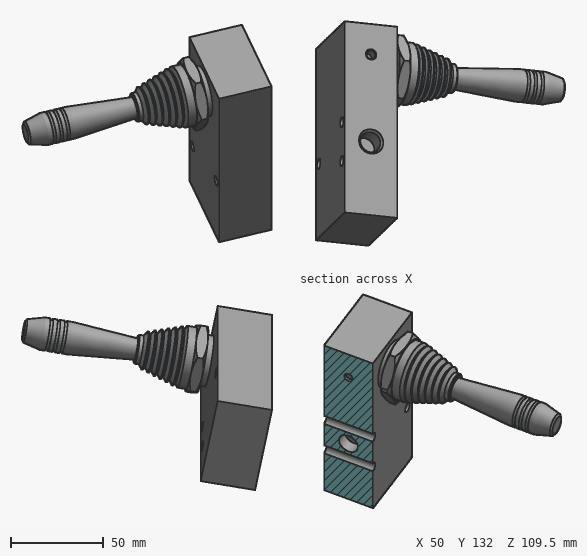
import cadquery as cq
import math

block_width = 50.0
block_depth = 30.0
block_height = 109.0

mount_diameter = 5.5
mount_x = 19.9
mount_mid_z = 42.0
mount_half_spacing = 11.1

port_diameter = 11.4
port_mouth_diameter = 13.9
port_depth = 11.9
pilot_diameter = 4.9
pilot_mouth_diameter = 6.0
pilot_depth = 6.6

lever_z = 91.6
lever_length = 132 - block_depth
stem_radius = 28.0 / 2
nut_start = 3.7
nut_end = 10.0
nut_across_flats = 35.9
nut_bevel_angle = math.radians(30)
collar_radius = 34.0 / 2
collar_end = 14.8

ridge_count = 6
ridge_pitch = 3.52
ridge_shrink = 1.16
first_valley = 16.2
first_valley_radius = 29.5 / 2
ridge_height = 1.6
ridge_rise = 1.0
ridge_land = 0.5
cuff_start = 37.4
cuff_end = 40.3
cuff_radius = 16.0 / 2
cuff_chamfer = 0.7

neck_radius = 12.0 / 2
neck_end = 41.3
grip_radius = 18.0 / 2
grip_start = 76.4
grip_end = 91.6
groove_count = 3
groove_radius = 0.8
groove_pitch = 4.0
first_groove = 80.3
tip_radius = 6.5
tip_face_radius = 5.1
tip_chamfer_length = 0.9


def side_hole(z, diameter, mouth_diameter, depth):
    """Blind hole along +X with a 45 degree countersink at its mouth."""
    sink = (mouth_diameter - diameter) / 2
    face = cq.Workplane("YZ", origin=(-block_width / 2, block_depth / 2, z))
    bore = face.circle(diameter / 2).extrude(depth)
    mouth = face.circle(mouth_diameter / 2).workplane(offset=sink).circle(diameter / 2).loft(ruled=True)
    return bore.union(mouth)


def make_block():
    block = cq.Workplane("XY").box(block_width, block_depth, block_height, centered=(True, False, False))
    mount_points = [
        (-mount_x, mount_mid_z + mount_half_spacing),
        (-mount_x, mount_mid_z - mount_half_spacing),
        (mount_x, mount_mid_z),
    ]
    mounts = cq.Workplane("XZ").pushPoints(mount_points).circle(mount_diameter / 2).extrude(-block_depth)
    block = block.cut(mounts)
    block = block.cut(side_hole(mount_mid_z, port_diameter, port_mouth_diameter, port_depth))
    return block.cut(side_hole(lever_z, pilot_diameter, pilot_mouth_diameter, pilot_depth))


def bellows_points():
    """Valley and two ridge corners for each fold, as (radius, distance from block)."""
    points = []
    for fold in range(ridge_count):
        valley = first_valley + fold * ridge_pitch
        valley_radius = first_valley_radius - fold * ridge_shrink
        ridge_radius = valley_radius + ridge_height
        points.append((valley_radius, valley))
        points.append((ridge_radius, valley + ridge_rise))
        points.append((ridge_radius, valley + ridge_rise + ridge_land))
    return points


def turned_body():
    """Stem, collar, bellows and handle as one revolved profile."""
    profile = cq.Workplane("XY").lineTo(stem_radius, 0).lineTo(stem_radius, -nut_end)
    outline = [(collar_radius, nut_end), (collar_radius, collar_end)]
    outline += bellows_points()
    outline += [
        (cuff_radius, cuff_start),
        (cuff_radius, cuff_end - cuff_chamfer),
        (cuff_radius - cuff_chamfer, cuff_end),
        (neck_radius, cuff_end),
        (neck_radius, neck_end),
        (grip_radius, grip_start),
    ]
    for radius, distance in outline:
        profile = profile.lineTo(radius, -distance)
    for index in range(groove_count):
        middle = first_groove + index * groove_pitch
        profile = profile.lineTo(grip_radius, -(middle - groove_radius))
        profile = profile.threePointArc(
            (grip_radius - groove_radius, -middle),
            (grip_radius, -(middle + groove_radius)),
        )
    profile = profile.lineTo(grip_radius, -grip_end)
    profile = profile.lineTo(tip_radius, -(lever_length - tip_chamfer_length))
    profile = profile.lineTo(tip_face_radius, -lever_length)
    profile = profile.lineTo(0, -lever_length).close()
    return profile.revolve(360, (0, 0, 0), (0, 1, 0))


def hex_nut():
    """Hexagon with corners on the X axis, both faces bevelled by a cone."""
    flat_radius = nut_across_flats / 2
    corner_radius = flat_radius / math.cos(math.pi / 6)
    bevel = (corner_radius - flat_radius) * math.tan(nut_bevel_angle)
    thickness = nut_end - nut_start
    hexagon = cq.Workplane("XZ", origin=(0, -nut_start, 0)).polygon(6, 2 * corner_radius).extrude(thickness)
    envelope = (
        cq.Workplane("XY")
        .moveTo(0, -nut_start)
        .lineTo(flat_radius, -nut_start)
        .lineTo(corner_radius, -(nut_start + bevel))
        .lineTo(corner_radius, -(nut_end - bevel))
        .lineTo(flat_radius, -nut_end)
        .lineTo(0, -nut_end)
        .close()
        .revolve(360, (0, 0, 0), (0, 1, 0))
    )
    return hexagon.intersect(envelope)


def make_lever():
    return turned_body().union(hex_nut()).translate((0, 0, lever_z))


block = make_block()
lever = make_lever()
result = cq.Compound.makeCompound([block.solids().val(), lever.solids().val()])